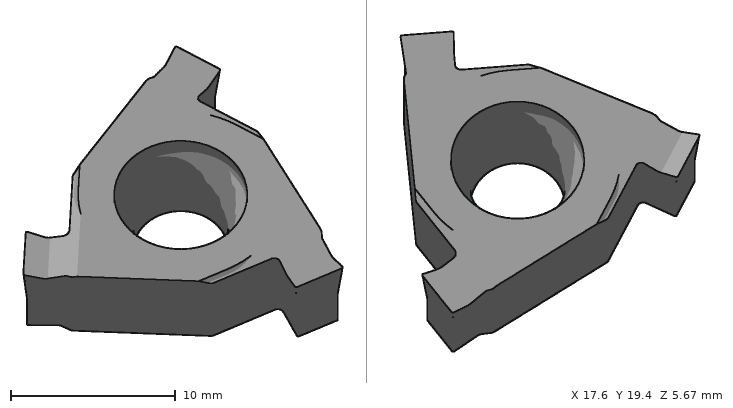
import cadquery as cq
import math

thickness = 5.67
arm_count = 3

side_distance = 6.39
ledge_distance = 6.64
body_corner_radius = 0.39

tip_reach = 9.29
tip_center_x = -4.7
tip_width = 3.29
tip_corner_radius = 0.12
root_radius = 0.37
back_taper = math.radians(2.5)
shoulder_start_y = 6.33
shoulder_angle = math.radians(27)

relief_z = 2.69
tip_relief = 0.21
flank_relief = 0.23

groove_start_y = 6.0
groove_fall = 0.3
groove_rise = 0.36
cutting_edge_z = 5.55
groove_radius = 0.56

land_radius = 6.23
land_flare = 1.75
land_depth = 0.58

bore_radius = 5.7 / 2
recess_radius = 4.05
seat_top_radius = 3.89
seat_bottom_z = 1.9
seat_top_z = 4.62

clearance = 0.97


def rotated(x, y, index):
    angle = math.radians(-360 / arm_count * index)
    c = math.cos(angle)
    s = math.sin(angle)
    return x * c - y * s, x * s + y * c


def arm_corners(tip_inset, flank_inset):
    """Corners (x, y, radius) of one third of the outline, in clockwise order."""
    taper = math.tan(back_taper)
    tip_y = tip_reach - tip_inset
    half_width = tip_width / 2 - flank_inset - tip_inset * taper
    left = tip_center_x - half_width
    right = tip_center_x + half_width
    slope = math.tan(shoulder_angle)

    neck_y = (left + tip_y * taper + side_distance + shoulder_start_y * slope) / (slope + taper)
    neck_x = left + (tip_y - neck_y) * taper
    root_x = right - (tip_y - ledge_distance) * taper

    facing = math.radians(60)
    ledge_end_x = (side_distance - ledge_distance * math.sin(facing)) / math.cos(facing)
    return [
        (-side_distance, shoulder_start_y, body_corner_radius),
        (neck_x, neck_y, root_radius),
        (left, tip_y, tip_corner_radius),
        (right, tip_y, tip_corner_radius),
        (root_x, ledge_distance, root_radius),
        (ledge_end_x, ledge_distance, body_corner_radius),
    ]


def corner_arc(previous, corner, following, radius):
    """Start, middle and end of the arc that rounds a corner."""
    point = cq.Vector(*corner)
    to_previous = (cq.Vector(*previous) - point).normalized()
    to_following = (cq.Vector(*following) - point).normalized()
    half_angle = to_previous.getAngle(to_following) / 2
    setback = radius / math.tan(half_angle)
    middle_distance = radius / math.sin(half_angle) - radius
    bisector = (to_previous + to_following).normalized()
    return (
        point + to_previous * setback,
        point + bisector * middle_distance,
        point + to_following * setback,
    )


def outline(z, tip_inset, flank_inset):
    """Closed wire of the whole insert with every corner rounded."""
    corners = []
    for index in range(arm_count):
        for x, y, radius in arm_corners(tip_inset, flank_inset):
            corners.append((*rotated(x, y, index), z, radius))
    arcs = []
    for i, corner in enumerate(corners):
        following = corners[(i + 1) % len(corners)]
        arcs.append(corner_arc(corners[i - 1][:3], corner[:3], following[:3], corner[3]))
    edges = []
    for i, (start, middle, end) in enumerate(arcs):
        edges.append(cq.Edge.makeLine(arcs[i - 1][2], start))
        edges.append(cq.Edge.makeThreePointArc(start, middle, end))
    return cq.Wire.assembleEdges(edges)


def flared_solid(bottom, top):
    """Solid between two matching wires, with flat faces between straight edges."""
    faces = [cq.Face.makeFromWires(bottom), cq.Face.makeFromWires(top)]
    for low, high in zip(bottom.Edges(), top.Edges()):
        if low.geomType() == "LINE":
            corners = [low.startPoint(), low.endPoint(), high.endPoint(), high.startPoint()]
            faces.append(cq.Face.makeFromWires(cq.Wire.makePolygon(corners, close=True)))
        else:
            faces.append(cq.Face.makeRuledSurface(low, high))
    return cq.Solid.makeSolid(cq.Shell.makeShell(faces))


def blank():
    """Straight lower part and the upper part that widens to the cutting edges."""
    base = outline(0, tip_relief, flank_relief)
    lower = cq.Solid.extrudeLinear(base, [], cq.Vector(0, 0, relief_z))
    upper = flared_solid(
        outline(relief_z, tip_relief, flank_relief),
        outline(thickness, 0, 0),
    )
    return cq.Workplane(lower).union(cq.Workplane(upper))


def groove_cutter():
    """V-shaped groove with a rounded bottom, clear of the land beside it."""
    high_z = thickness + clearance
    far_y = tip_reach + clearance
    edge_drop = thickness - cutting_edge_z
    slope_sum = groove_fall + groove_rise
    bottom_y = (groove_fall * groove_start_y + groove_rise * tip_reach + edge_drop) / slope_sum
    bottom_z = thickness - groove_fall * (bottom_y - groove_start_y)
    fall_point = (0, groove_start_y, thickness)
    rise_point = (0, far_y, cutting_edge_z + groove_rise * clearance)
    start, middle, end = corner_arc(fall_point, (0, bottom_y, bottom_z), rise_point, groove_radius)
    cutter = (
        cq.Workplane("YZ", origin=(-side_distance - clearance, 0, 0))
        .moveTo(groove_start_y, thickness)
        .lineTo(start.y, start.z)
        .threePointArc((middle.y, middle.z), (end.y, end.z))
        .lineTo(rise_point[1], rise_point[2])
        .lineTo(far_y, high_z)
        .lineTo(groove_start_y, high_z)
        .close()
        .extrude(2 * side_distance)
    )

    foot_radius = land_radius + land_flare * land_depth
    foot_z = thickness - land_depth
    profile = [(0, foot_z), (foot_radius, foot_z), (land_radius, thickness), (0, thickness)]
    cone = (
        cq.Workplane("YZ")
        .polyline(profile)
        .close()
        .revolve(90, (0, 0, 0), (0, 1, 0))
    )
    slope = (
        cq.Workplane("YZ")
        .polyline(profile)
        .close()
        .extrude(side_distance)
    )
    return cutter.cut(cone.union(slope))


def screw_hole():
    """Bore flaring through a curved seat into a cylindrical head recess."""
    seat_rise = seat_top_z - seat_bottom_z
    seat_spread = seat_top_radius - bore_radius
    seat_sweep = 2 * math.atan(seat_spread / seat_rise)
    blend_radius = (recess_radius - seat_top_radius) / (1 - math.cos(seat_sweep))
    recess_floor_z = seat_top_z + blend_radius * math.sin(seat_sweep)
    return (
        cq.Workplane("XZ")
        .moveTo(0, -clearance)
        .lineTo(bore_radius, -clearance)
        .lineTo(bore_radius, seat_bottom_z)
        .tangentArcPoint((seat_top_radius, seat_top_z), relative=False)
        .tangentArcPoint((recess_radius, recess_floor_z), relative=False)
        .lineTo(recess_radius, thickness + clearance)
        .lineTo(0, thickness + clearance)
        .close()
        .revolve(360, (0, 0, 0), (0, 1, 0))
    )


result = blank().cut(screw_hole())
groove = groove_cutter()
for arm in range(arm_count):
    result = result.cut(groove.rotate((0, 0, 0), (0, 0, 1), -360 / arm_count * arm))